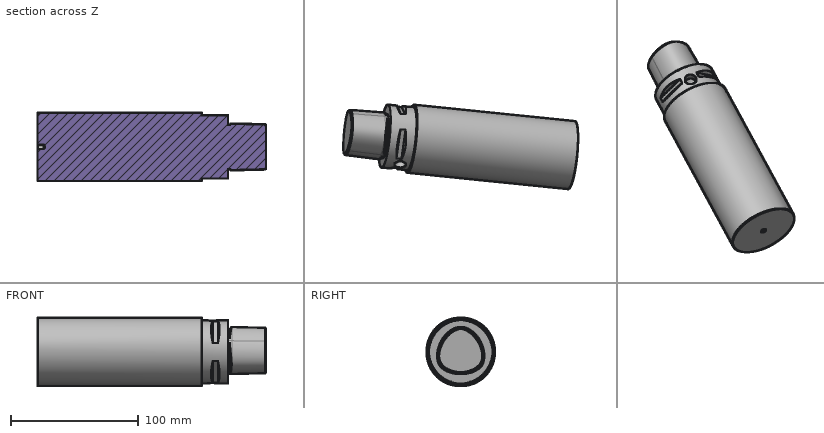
import cadquery as cq
import math

total_length = 180.0
shank_length = 30.0
flange_face_x = total_length - shank_length

body_diameter = 54.0
body_length = 129.5
body_chamfer = 0.5

flange_diameter = 50.0

centre_diameter = 3.15
centre_depth = 5.0
centre_mouth_diameter = 4.2
drill_point_angle = 118.0

index_hole_diameter = 9.0
index_hole_depth = 6.0
index_hole_x = 137.7

slot_count = 4
slot_x = 140.0
slot_floor_width = 4.0
slot_depth = 3.0
slot_wall_angle = 25.0

lobe_count = 3
lobe_spacing = 2 * math.pi / lobe_count
points_per_lobe = 16
lobe_radius = 18.6
lobe_height = 1.07
taper_per_mm = 1.0 / 40.0
root_length = 3.0
tip_chamfer_length = 1.1
tip_chamfer_height = 1.0
neck_diameter = 35.2
neck_length = 1.5
lobe_clearance = 0.1


def turned(points):
    """Solid of revolution about X from (x, radius) points."""
    return cq.Workplane("XY").polyline(points).close().revolve(360, (0, 0, 0), (1, 0, 0))


def drill_point_height(diameter):
    return diameter / 2 / math.tan(math.radians(drill_point_angle / 2))


def make_body():
    radius = body_diameter / 2
    flange_radius = flange_diameter / 2
    return turned([
        (0, 0),
        (0, radius - body_chamfer),
        (body_chamfer, radius),
        (body_length - body_chamfer, radius),
        (body_length, radius - body_chamfer),
        (body_length, flange_radius),
        (flange_face_x, flange_radius),
        (flange_face_x, 0),
    ])


def lobe_point(angle, mean_radius):
    """(y, z) point on the lobed curve where its outward normal is at the given angle from +Z.

    The distance from the axis to the tangent line swings by lobe_height about
    mean_radius, once per lobe. One lobe points to +Z.
    """
    support = mean_radius + lobe_height * math.cos(lobe_count * angle)
    slope = -lobe_count * lobe_height * math.sin(lobe_count * angle)
    along_z = support * math.cos(angle) - slope * math.sin(angle)
    along_y = support * math.sin(angle) + slope * math.cos(angle)
    return along_y, along_z


def lobed_section(x, mean_radius):
    """Closed three-lobed wire across X, made of one curve per lobe joined at the middle of the flat sides."""
    curves = []
    for lobe in range(lobe_count):
        first_angle = (lobe - 0.5) * lobe_spacing
        points = []
        for step in range(points_per_lobe + 1):
            angle = first_angle + step * lobe_spacing / points_per_lobe
            points.append(cq.Vector(x, *lobe_point(angle, mean_radius)))
        tangents = [
            cq.Vector(0, math.cos(end), -math.sin(end)) for end in (first_angle, first_angle + lobe_spacing)
        ]
        curves.append(cq.Edge.makeSpline(points, tangents))
    return cq.Wire.assembleEdges(curves)


def lobed_frustum(start_x, end_x, start_radius, end_radius):
    """Straight-sided solid between two lobed sections."""
    sections = [lobed_section(start_x, start_radius), lobed_section(end_x, end_radius)]
    return cq.Workplane(obj=cq.Solid.makeLoft(sections, True))


def make_shank():
    taper_x = flange_face_x + root_length
    chamfer_x = total_length - tip_chamfer_length
    chamfer_radius = lobe_radius - taper_per_mm * (chamfer_x - taper_x)
    tip_radius = chamfer_radius - tip_chamfer_height
    root = lobed_frustum(flange_face_x, taper_x, lobe_radius, lobe_radius)
    taper = lobed_frustum(taper_x, chamfer_x, lobe_radius, chamfer_radius)
    tip = lobed_frustum(chamfer_x, total_length, chamfer_radius, tip_radius)

    neck_radius = neck_diameter / 2
    shoulder_x = flange_face_x + neck_length
    outer_radius = lobe_radius + lobe_height + lobe_clearance
    envelope = turned([
        (flange_face_x, 0),
        (flange_face_x, neck_radius),
        (shoulder_x, neck_radius),
        (taper_x, outer_radius),
        (total_length, outer_radius),
        (total_length, 0),
    ])
    return root.union(taper).union(tip).intersect(envelope)


def make_centre_hole():
    radius = centre_diameter / 2
    mouth_radius = centre_mouth_diameter / 2
    return turned([
        (0, 0),
        (0, mouth_radius),
        (mouth_radius - radius, radius),
        (centre_depth, radius),
        (centre_depth + drill_point_height(centre_diameter), 0),
    ])


def make_index_hole():
    """Blind drilled hole entering the flange from +Z."""
    radius = index_hole_diameter / 2
    top = body_diameter / 2
    floor = flange_diameter / 2 - index_hole_depth
    return (
        cq.Workplane("XZ", origin=(index_hole_x, 0, 0))
        .polyline([
            (0, top),
            (radius, top),
            (radius, floor),
            (0, floor - drill_point_height(index_hole_diameter)),
        ])
        .close()
        .revolve(360, (0, 0, 0), (0, 1, 0))
    )


def make_slot():
    """Straight slot across the +Z side of the flange."""
    floor = flange_diameter / 2 - slot_depth
    top = body_diameter / 2
    half_floor = slot_floor_width / 2
    half_top = half_floor + (top - floor) * math.tan(math.radians(slot_wall_angle))
    return (
        cq.Workplane("XZ", origin=(slot_x, 0, 0))
        .polyline([(-half_floor, floor), (half_floor, floor), (half_top, top), (-half_top, top)])
        .close()
        .extrude(flange_diameter / 2, both=True)
    )


def around_axis(tool, angle):
    return tool.rotate((0, 0, 0), (1, 0, 0), angle)


result = make_body().union(make_shank()).cut(make_centre_hole())

for hole_angle in (0, 180):
    result = result.cut(around_axis(make_index_hole(), hole_angle))

slot_spacing = 360 / slot_count
for index in range(slot_count):
    result = result.cut(around_axis(make_slot(), (index + 0.5) * slot_spacing))